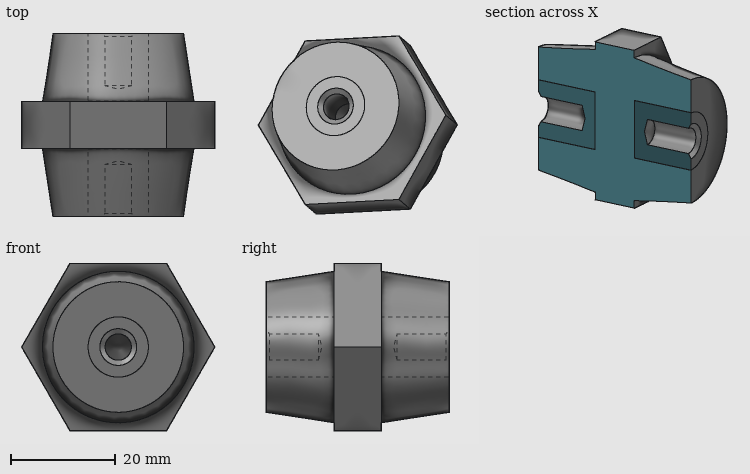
import cadquery as cq


total_length = 35.0
half_length = total_length / 2
across_corners = 36.95
collar_length = 9.0
half_collar = collar_length / 2
collar_sides = 6
collar_radius = 14.5
end_radius = 12.5

insert_radius = 5.75
insert_length = 12.95
bore_radius = 2.5
bore_depth = 9.98
bore_tip_depth = 0.65
countersink_radius = 3.5
countersink_depth = 0.6

end_turns = (0, 180)


def make_boss():
    """Tapered round boss on the +Y side, from the mid-plane to the end face."""
    return (
        cq.Workplane("XY")
        .lineTo(collar_radius, 0)
        .lineTo(collar_radius, half_collar)
        .lineTo(end_radius, half_length)
        .lineTo(0, half_length)
        .close()
        .revolve(360, (0, 0), (0, 1))
    )


def make_insert_blank():
    """Plain cylinder of the +Y insert, flush with the end face."""
    return (
        cq.Workplane("XZ", origin=(0, half_length, 0))
        .circle(insert_radius)
        .extrude(insert_length)
    )


def make_bore():
    """Countersunk blind bore of the +Y insert, with a shallow conical bottom."""
    bore_bottom = half_length - bore_depth
    return (
        cq.Workplane("XY")
        .moveTo(0, half_length)
        .lineTo(countersink_radius, half_length)
        .lineTo(bore_radius, half_length - countersink_depth)
        .lineTo(bore_radius, bore_bottom)
        .lineTo(0, bore_bottom - bore_tip_depth)
        .close()
        .revolve(360, (0, 0), (0, 1))
    )


def place_at_end(shape, turn):
    """Turn a +Y end feature about Z: 0 keeps it at +Y, 180 puts it at -Y."""
    return shape.rotate((0, 0, 0), (0, 0, 1), turn)


def make_insulator():
    """Hexagonal collar with a boss on both sides and a pocket in each end."""
    body = (
        cq.Workplane("XZ")
        .polygon(collar_sides, across_corners)
        .extrude(half_collar, both=True)
    )
    for turn in end_turns:
        body = body.union(place_at_end(make_boss(), turn))
    for turn in end_turns:
        body = body.cut(place_at_end(make_insert_blank(), turn))
    return body


def make_insert(turn):
    """Threaded insert at the end given by the turn."""
    return place_at_end(make_insert_blank().cut(make_bore()), turn)


insulator = make_insulator()
inserts = [make_insert(turn) for turn in end_turns]

result = cq.Compound.makeCompound([insulator.val(), *[insert.val() for insert in inserts]])